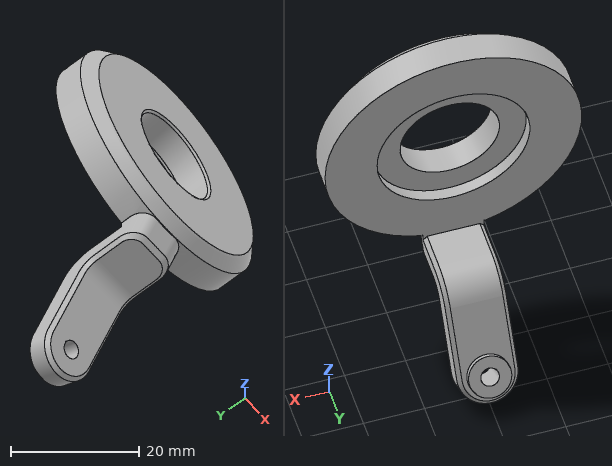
import cadquery as cq
import math

ring_radius = 21.01
ring_thickness = 7.0
rim_length = 5.0
bevel_depth = 1.75
front_edge_inset = 0.4
bore_radius = 8.1
bore_chamfer = 0.4
recess_radius = 12.5
recess_depth = 1.95

arm_width = 10.0
half_width = arm_width / 2
arm_top = -20.8
arm_bottom = -25.0
edge_chamfer = 0.7
leg_angle = math.radians(60)
leg_thickness = 4.8
leg_length = 12.4
outer_bend_y = 6.2
outer_bend_radius = 7.0
inner_bend_radius = 3.0

root_top = -19.35
root_front_y = -5.0
root_corner_radius = 3.0
filler_back_y = 3.1

boss_radius = 3.5
boss_height = 1.0
hole_radius = 1.5

along = (math.cos(leg_angle), -math.sin(leg_angle))
normal = (math.sin(leg_angle), math.cos(leg_angle))


def moved(point, leg_distance, normal_distance):
    """Shift a (Y, Z) point along the leg and along its normal."""
    return (
        point[0] + leg_distance * along[0] + normal_distance * normal[0],
        point[1] + leg_distance * along[1] + normal_distance * normal[1],
    )


outer_bend_center = (outer_bend_y, arm_top - outer_bend_radius)
outer_bend_end = moved(outer_bend_center, 0, outer_bend_radius)
leg_end_outer = moved(outer_bend_end, leg_length, 0)
leg_end_inner = moved(leg_end_outer, 0, -leg_thickness)


def bend_middle(center, radius):
    """Point halfway round a bend that starts at the top of its circle."""
    half_angle = leg_angle / 2
    return (center[0] + radius * math.sin(half_angle), center[1] + radius * math.cos(half_angle))


def leg_cylinder(radius, start, length):
    """Cylinder on the end hole axis; start is measured from the leg's outer face."""
    y, z = moved(leg_end_outer, 0, start)
    return cq.Workplane(cq.Solid.makeCylinder(
        radius, length, cq.Vector(0, y, z), cq.Vector(0, *normal)))


def make_ring():
    bevel_end = rim_length + bevel_depth
    bevel_end_radius = ring_radius - bevel_depth
    profile = [
        (bore_radius, -recess_depth),
        (recess_radius, -recess_depth),
        (recess_radius, 0),
        (ring_radius, 0),
        (ring_radius, -rim_length),
        (bevel_end_radius, -bevel_end),
        (bevel_end_radius - front_edge_inset, -ring_thickness),
        (bore_radius + bore_chamfer, -ring_thickness),
        (bore_radius, bore_chamfer - ring_thickness),
    ]
    return cq.Workplane("XY").polyline(profile).close().revolve(360, (0, 0, 0), (0, 1, 0))


def root_y(z):
    """Y of the slanted front of the root, parallel to the leg."""
    return root_front_y - (z - arm_top) / math.tan(leg_angle)


def round_root_corners(body):
    corners = cq.selectors.ParallelDirSelector(cq.Vector(0, *along)) & cq.selectors.BoxSelector(
        (-arm_width, -ring_thickness, arm_bottom), (arm_width, 0, root_top))
    return body.edges(corners).fillet(root_corner_radius)


def make_crank():
    inner_center_z = arm_bottom - inner_bend_radius
    inner_center_y = (
        leg_end_inner[0] * normal[0] + leg_end_inner[1] * normal[1]
        - inner_bend_radius - inner_center_z * normal[1]
    ) / normal[0]
    inner_center = (inner_center_y, inner_center_z)
    crank = (
        cq.Workplane("YZ")
        .moveTo(root_front_y, arm_top)
        .lineTo(outer_bend_y, arm_top)
        .threePointArc(bend_middle(outer_bend_center, outer_bend_radius), outer_bend_end)
        .lineTo(*leg_end_outer)
        .lineTo(*leg_end_inner)
        .lineTo(*moved(inner_center, 0, inner_bend_radius))
        .threePointArc(bend_middle(inner_center, inner_bend_radius), (inner_center_y, arm_bottom))
        .lineTo(root_y(arm_bottom), arm_bottom)
        .close()
        .extrude(half_width, both=True)
    )
    rounded = round_root_corners(crank).union(leg_cylinder(half_width, -leg_thickness, leg_thickness)).clean()
    return rounded.edges("|Y").chamfer(edge_chamfer)


def make_root_filler():
    """Square-edged block that joins the arm's chamfered top to the ring."""
    bottom = arm_top - 2 * edge_chamfer
    profile = [
        (filler_back_y, root_top),
        (root_y(root_top), root_top),
        (root_y(bottom), bottom),
        (filler_back_y, bottom),
    ]
    block = cq.Workplane("YZ").polyline(profile).close().extrude(half_width, both=True)
    rounded = round_root_corners(block)
    behind_ring = cq.Workplane("XY").box(
        arm_width, filler_back_y, ring_radius, centered=(True, False, False)
    ).translate((0, 0, -ring_radius - 2 * edge_chamfer))
    return rounded.cut(behind_ring)


boss = leg_cylinder(boss_radius, 0, boss_height)
end_hole = leg_cylinder(hole_radius, -leg_thickness, leg_thickness + boss_height)

arm = make_crank().union(make_root_filler()).clean()
result = arm.union(make_ring()).union(boss).cut(end_hole).clean()